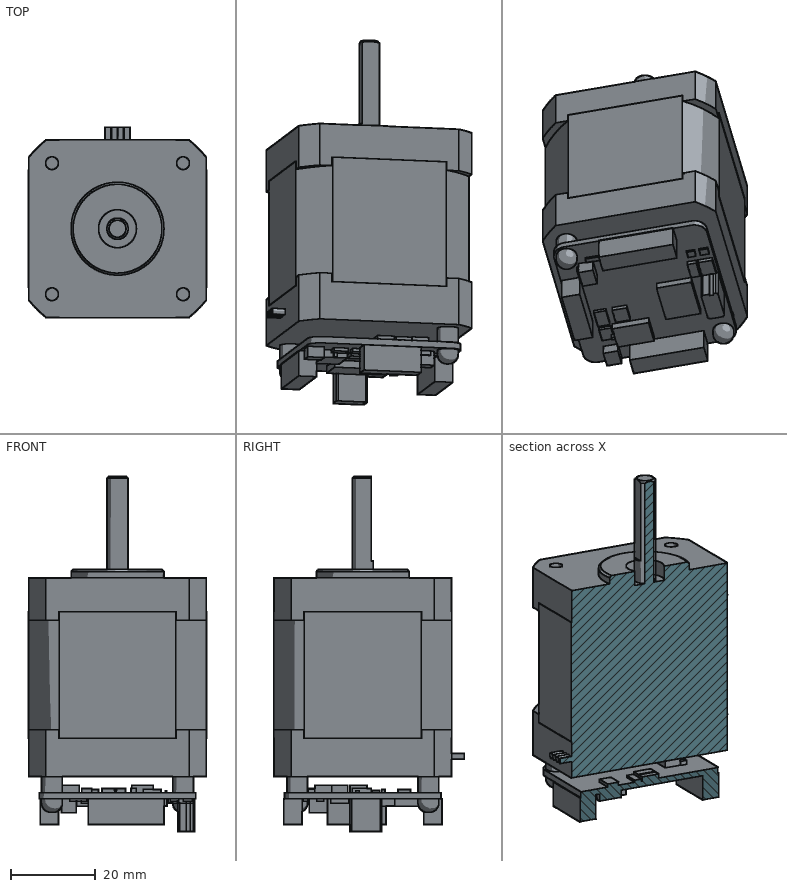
import cadquery as cq

cap_width = 42.0
cap_corner_radius = 27.0
motor_height = 46.95
lower_cap_height = 11.1
upper_cap_height = 10.0
stator_width = 42.2
stator_corner_radius = 25.2
stator_cap_overlap = 2.0

boss_diameter = 22.0
boss_height = 2.0
boss_chamfer = 0.5
bore_diameter = 9.0
bore_depth = 3.5

shaft_diameter = 5.0
shaft_length = 24.0
shaft_chamfer = 0.5
flat_length = 20.0
flat_depth = 0.5

mount_pitch = 31.0
mount_hole_diameter = 3.0
mount_hole_depth = 4.5

wire_count = 4
wire_diameter = 1.4
wire_pitch = 1.5
wire_height = 4.8
wire_tip_y = 24.0

board_width = 37.05
board_thickness = 1.5
board_gap = 3.8
post_diameter = 4.95
screw_head_height = 3.2
screw_head_round = 2.2

board_top = -board_gap
board_bottom = board_top - board_thickness

connector_drop = 6.05
connector_depth = 4.4
edge_connector_length = 18.0
edge_connector_x = 2.0
edge_connector_face = 18.7
side_connector_length = 13.9
side_connector_y = -1.4
side_connector_face = 18.3

plug_drop = 7.7
plug_width = 4.0
plug_length = 7.6
plug_y = 0.75
plug_chamfer = 0.4
slot_width = 0.9
slot_depth = 0.4
slot_x = 16.7

chips_above = [
    (-13.4, -9.0, -3.0, 1.0, 1.8),
    (-13.0, -9.0, -7.3, -3.5, 1.8),
    (-14.45, -13.9, -5.8, -3.7, 0.6),
    (-13.4, -9.0, -11.3, -7.3, 1.8),
    (3.4, 8.5, -11.3, -7.3, 1.8),
    (-8.5, -6.05, -10.1, -7.6, 1.0),
    (-6.05, -4.45, 4.45, 5.3, 0.75),
    (-3.7, -0.7, -2.5, 2.0, 1.0),
    (-0.25, 1.9, -2.5, 2.0, 1.0),
    (3.2, 4.45, -12.9, -11.3, 1.0),
    (6.05, 10.3, -12.9, -11.3, 0.75),
    (-2.5, 1.7, 8.3, 11.3, 0.75),
    (-2.5, 1.7, 2.2, 4.0, 0.5),
    (11.25, 11.7, -1.7, -0.8, 0.4),
]
chips_below = [
    (-13.3, -9.75, -12.7, -8.3, 3.3),
    (-13.3, -9.75, 13.95, 18.0, 2.5),
    (-13.95, -13.3, -11.7, -8.6, 1.0),
    (-11.3, -7.3, -14.1, -12.9, 0.5),
    (-9.7, -0.8, 7.6, 13.4, 1.8),
    (3.4, 11.8, -2.5, 7.6, 1.7),
    (-13.0, -10.1, 8.1, 11.5, 0.75),
    (-13.0, -10.1, 2.5, 7.0, 0.75),
    (11.9, 14.1, -7.6, -3.4, 1.0),
    (14.5, 18.0, -7.6, -3.4, 1.0),
    (12.5, 14.45, -10.9, -9.2, 0.5),
    (15.5, 17.6, -10.9, -9.2, 0.5),
    (-8.6, -5.0, 2.5, 6.4, 1.0),
    (-10.5, -9.75, 10.2, 10.9, 1.8),
]


def rounded_square(width, corner_radius, bottom, top):
    """Square block whose corners are turned down to a circle about the shaft axis."""
    height = top - bottom
    block = cq.Workplane("XY").box(width, width, height, centered=(True, True, False))
    turned = cq.Workplane("XY").circle(corner_radius).extrude(height)
    return block.intersect(turned).translate((0, 0, bottom))


def range_box(x_min, x_max, y_min, y_max, bottom, top):
    box = cq.Workplane("XY").box(x_max - x_min, y_max - y_min, top - bottom, centered=False)
    return box.translate((x_min, y_min, bottom))


def make_housing():
    upper_cap_bottom = motor_height - upper_cap_height
    lower_cap = rounded_square(cap_width, cap_corner_radius, 0, lower_cap_height)
    upper_cap = rounded_square(cap_width, cap_corner_radius, upper_cap_bottom, motor_height)
    stator = rounded_square(
        stator_width,
        stator_corner_radius,
        lower_cap_height - stator_cap_overlap,
        upper_cap_bottom + stator_cap_overlap,
    )
    boss = (
        cq.Workplane("XY", origin=(0, 0, motor_height))
        .circle(boss_diameter / 2)
        .extrude(boss_height)
        .faces(">Z")
        .chamfer(boss_chamfer)
    )
    bore = (
        cq.Workplane("XY", origin=(0, 0, motor_height + boss_height))
        .circle(bore_diameter / 2)
        .extrude(-bore_depth)
    )
    mount_holes = (
        cq.Workplane("XY", origin=(0, 0, motor_height))
        .rect(mount_pitch, mount_pitch, forConstruction=True)
        .vertices()
        .circle(mount_hole_diameter / 2)
        .extrude(-mount_hole_depth)
    )
    return lower_cap.union(stator).union(upper_cap).union(boss).cut(bore).cut(mount_holes)


def make_shaft():
    bottom = motor_height + boss_height - bore_depth
    top = motor_height + shaft_length
    shaft = (
        cq.Workplane("XY", origin=(0, 0, bottom))
        .circle(shaft_diameter / 2)
        .extrude(top - bottom)
        .faces(">Z")
        .chamfer(shaft_chamfer)
    )
    radius = shaft_diameter / 2
    flat = range_box(-radius, radius, radius - flat_depth, radius, top - flat_length, top)
    return shaft.cut(flat)


def make_wires():
    return (
        cq.Workplane("XZ", origin=(0, wire_tip_y, wire_height))
        .rarray(wire_pitch, 0.8, wire_count, 1)
        .circle(wire_diameter / 2)
        .extrude(wire_tip_y - cap_width / 2)
    )


def make_board_plate():
    return (
        cq.Workplane("XY", origin=(0, 0, board_bottom))
        .rect(board_width, board_width)
        .extrude(board_thickness)
        .edges("|Z")
        .fillet((board_width - mount_pitch) / 2)
    )


def make_post():
    """Post from the motor through the board, ending in a domed screw head."""
    return (
        cq.Workplane("XY", origin=(0, 0, board_bottom - screw_head_height))
        .circle(post_diameter / 2)
        .extrude(screw_head_height - board_bottom)
        .faces("<Z")
        .edges()
        .fillet(screw_head_round)
    )


def make_connectors():
    bottom = board_bottom - connector_drop
    x_min = edge_connector_x - edge_connector_length / 2
    x_max = edge_connector_x + edge_connector_length / 2
    y_outer = edge_connector_face
    y_inner = edge_connector_face - connector_depth
    front = range_box(x_min, x_max, -y_outer, -y_inner, bottom, board_bottom)
    back = range_box(x_min, x_max, y_inner, y_outer, bottom, board_bottom)
    side = range_box(
        -side_connector_face,
        connector_depth - side_connector_face,
        side_connector_y - side_connector_length / 2,
        side_connector_y + side_connector_length / 2,
        bottom,
        board_bottom,
    )
    return [front, back, side]


def make_plug():
    plug = range_box(
        side_connector_face - plug_width,
        side_connector_face,
        plug_y - plug_length / 2,
        plug_y + plug_length / 2,
        board_bottom - plug_drop,
        board_bottom,
    )
    slot_face = plug_y - plug_length / 2
    slot = range_box(
        slot_x - slot_width / 2,
        slot_x + slot_width / 2,
        slot_face,
        slot_face + slot_depth,
        board_bottom - plug_drop,
        board_bottom,
    )
    return plug.edges("|Z").chamfer(plug_chamfer).cut(slot)


def make_controller():
    controller = make_board_plate()
    for side in (-1, 1):
        offset = side * mount_pitch / 2
        controller = controller.union(make_post().translate((offset, offset, 0)))
    for connector in make_connectors():
        controller = controller.union(connector)
    controller = controller.union(make_plug())
    for x_min, x_max, y_min, y_max, height in chips_above:
        chip = range_box(x_min, x_max, y_min, y_max, board_top, board_top + height)
        controller = controller.union(chip)
    for x_min, x_max, y_min, y_max, height in chips_below:
        chip = range_box(x_min, x_max, y_min, y_max, board_bottom - height, board_bottom)
        controller = controller.union(chip)
    return controller


motor = make_housing().union(make_shaft()).union(make_wires())
controller = make_controller()

result = cq.Compound.makeCompound([motor.val(), controller.val()])